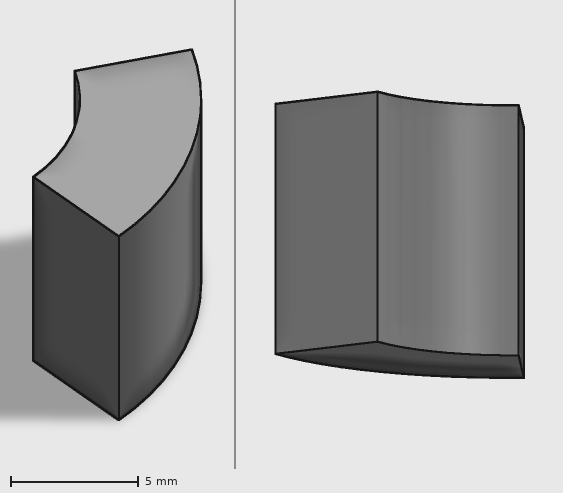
import cadquery as cq
import math

outer_radius = 11.0
inner_radius = 6.24
height = 10.0
half_angle = 30.0


def polar_point(radius, angle):
    """Point at the given radius and angle in degrees around the ring axis."""
    radians = math.radians(angle)
    return (radius * math.cos(radians), radius * math.sin(radians))


result = (
    cq.Workplane("XY")
    .moveTo(*polar_point(inner_radius, -half_angle))
    .lineTo(*polar_point(outer_radius, -half_angle))
    .threePointArc((outer_radius, 0), polar_point(outer_radius, half_angle))
    .lineTo(*polar_point(inner_radius, half_angle))
    .threePointArc((inner_radius, 0), polar_point(inner_radius, -half_angle))
    .close()
    .extrude(height)
)